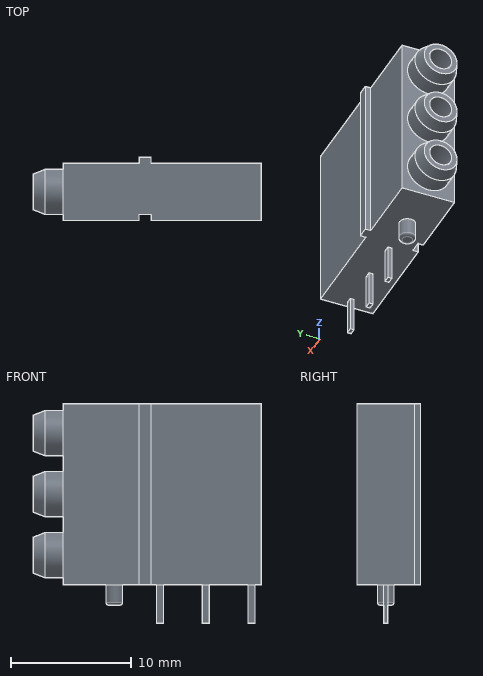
import cadquery as cq

housing_length = 16.5
housing_width = 4.8
pitch = 5.08
end_margin = 2.47
barrel_count = 3
housing_height = 2 * end_margin + (barrel_count - 1) * pitch

rib_start = 6.33
rib_width = 1.0
rib_depth = 0.5

barrel_diameter = 3.8
barrel_tip_diameter = 3.0
barrel_bore_diameter = 2.0
barrel_length = 2.5
barrel_taper_length = 1.0

row_pitch = 3.81
peg_x = 4.25
peg_diameter = 1.4
peg_length = 1.7
peg_fillet = 0.25
pin_count = 3
pin_thickness_x = 0.6
pin_thickness_y = 0.35
pin_length = 3.2


def make_housing():
    """Rectangular block with a full-height groove on -Y and a rib on +Y."""
    half_width = housing_width / 2
    rib_end = rib_start + rib_width
    outline = [
        (0, -half_width),
        (rib_start, -half_width),
        (rib_start, -half_width + rib_depth),
        (rib_end, -half_width + rib_depth),
        (rib_end, -half_width),
        (housing_length, -half_width),
        (housing_length, half_width),
        (rib_end, half_width),
        (rib_end, half_width + rib_depth),
        (rib_start, half_width + rib_depth),
        (rib_start, half_width),
        (0, half_width),
    ]
    return cq.Workplane("XY").polyline(outline).close().extrude(housing_height)


def make_barrel(axis_z):
    """Tube standing on the front face, tapered at its free end."""
    outer_radius = barrel_diameter / 2
    tip_radius = barrel_tip_diameter / 2
    bore_radius = barrel_bore_diameter / 2
    taper_start = -barrel_length + barrel_taper_length
    half_section = [
        (0, bore_radius),
        (0, outer_radius),
        (taper_start, outer_radius),
        (-barrel_length, tip_radius),
        (-barrel_length, bore_radius),
    ]
    barrel = cq.Workplane("XZ").polyline(half_section).close().revolve(360, (0, 0), (1, 0))
    return barrel.translate((0, 0, axis_z))


def make_peg():
    """Round locating peg with a rounded lower edge."""
    peg = cq.Workplane("XY").center(peg_x, 0).circle(peg_diameter / 2).extrude(-peg_length)
    return peg.faces("<Z").edges().fillet(peg_fillet)


def make_pin(x):
    """Flat rectangular contact pin."""
    return cq.Workplane("XY").center(x, 0).rect(pin_thickness_x, pin_thickness_y).extrude(-pin_length)


housing = make_housing()
barrels = [make_barrel(end_margin + index * pitch) for index in range(barrel_count)]
peg = make_peg()
pins = [make_pin(peg_x + (index + 1) * row_pitch) for index in range(pin_count)]

result = cq.Compound.makeCompound([
    housing.val(),
    *[barrel.val() for barrel in barrels],
    peg.val(),
    *[pin.val() for pin in pins],
])